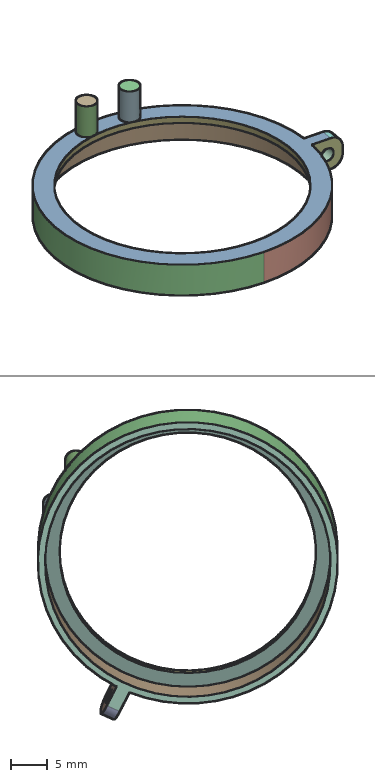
import cadquery as cq

outer_diameter = 40.95
lip_diameter = 35.0
recess_diameter = 39.0
total_height = 10.0
ring_height = total_height / 2
lip_thickness = 1.0

pin_diameter = 3.0
pin_height = total_height - ring_height
pin_x = -18.6
pin_spacing = 7.0

overall_length = 46
tab_width = 2.0
tab_corner_radius = 2.0
tab_hole_diameter = 2.0
tab_end_y = overall_length - outer_diameter / 2
tab_root_y = (outer_diameter + recess_diameter) / 4
tab_hole_y = tab_end_y - ring_height / 2


def make_ring():
    """Ring with an inward lip at the top and a wider recess below it."""
    ring = cq.Workplane("XY").circle(outer_diameter / 2).circle(lip_diameter / 2).extrude(ring_height)
    recess = cq.Workplane("XY").circle(recess_diameter / 2).extrude(ring_height - lip_thickness)
    return ring.cut(recess)


def make_pins():
    """Pair of round pins, symmetric about the X axis."""
    return (
        cq.Workplane("XY", origin=(0, 0, ring_height))
        .pushPoints([(pin_x, -pin_spacing / 2), (pin_x, pin_spacing / 2)])
        .circle(pin_diameter / 2)
        .extrude(pin_height)
    )


def make_tab():
    """Flat upright tab with rounded outer corners and a cross hole."""
    tab = (
        cq.Workplane("XY")
        .box(tab_width, tab_end_y - tab_root_y, ring_height, centered=(True, False, False))
        .translate((0, tab_root_y, 0))
        .edges("|X and >Y")
        .fillet(tab_corner_radius)
    )
    hole = (
        cq.Workplane("YZ", origin=(-tab_width / 2, 0, 0))
        .center(tab_hole_y, ring_height / 2)
        .circle(tab_hole_diameter / 2)
        .extrude(tab_width)
    )
    return tab.cut(hole)


result = make_ring().union(make_pins()).union(make_tab())